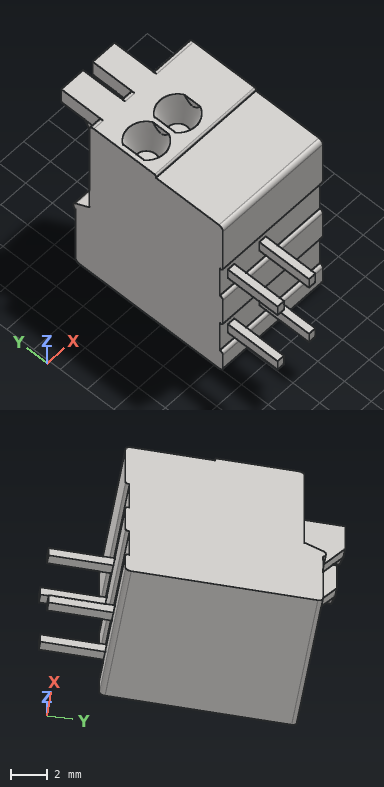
import cadquery as cq


pole_count = 2
pole_pitch = 2.55
row_pitch = 2 * pole_pitch

width = 8.08
height = 13.6
front = 3.49
upper_back = 13.48
lower_back = 14.52
step_y = 8.5
step_drop = 0.23
corner_radius = 0.31
step_radius = 0.11

latch_top_z = 5.98
bump_tip_y = 14.69
bump_z = 5.09
bump_half_height = 0.3

groove_depth = 0.23
lower_groove_z = 1.76
groove_height = 2.51
groove_edge_radius = 0.2

pin_x = 0.65
pin_width = 0.52
pin_height = 0.8
lower_pin_z = 2.74
pin_embed = 0.16

lever_x = 0.77
lever_width = 1.78
lever_front = 12.29
lever_back = 16.3
lever_side_bottom = 12.39
lever_back_bottom = 11.15
lever_toe_z = 6.35
lever_bevel = lever_side_bottom - lever_back_bottom

entry_x = 1.37
entry_y = 10.48
entry_top_radius = 1.32
entry_floor_radius = 0.73
entry_depth = 1.95
entry_left = 0.33
entry_right = lever_x + lever_width


def box(x, y, z, size_x, size_y, size_z):
    """Box placed by its lowest corner."""
    return cq.Workplane("XY").box(size_x, size_y, size_z, centered=False).translate((x, y, z))


def extrude_side(outline, x_start, length):
    """Extrude a closed YZ outline along +X."""
    return outline.close().extrude(length).translate((x_start, 0, 0))


def edges_along_x(y, z):
    """Selector for the full-width housing edge at (y, z)."""
    reach = 0.02
    return cq.selectors.BoxSelector((0, y - reach, z - reach), (width, y + reach, z + reach))


def make_housing():
    outline = (
        cq.Workplane("YZ")
        .moveTo(front, 0)
        .lineTo(lower_back, 0)
        .lineTo(lower_back, bump_z - bump_half_height)
        .threePointArc((bump_tip_y, bump_z), (lower_back, bump_z + bump_half_height))
        .lineTo(upper_back, latch_top_z)
        .lineTo(upper_back, height)
        .lineTo(step_y, height)
        .lineTo(step_y, height - step_drop)
        .lineTo(front, height - step_drop)
    )
    body = extrude_side(outline, 0, width)
    for y, z in (
        (front, 0),
        (lower_back, 0),
        (upper_back, height),
        (front, height - step_drop),
    ):
        body = body.edges(edges_along_x(y, z)).fillet(corner_radius)
    body = body.edges(edges_along_x(step_y, height)).fillet(step_radius)

    for bottom in (lower_groove_z, lower_groove_z + row_pitch):
        body = body.cut(box(0, front, bottom, width, groove_depth, groove_height))
        for z in (bottom, bottom + groove_height):
            body = body.edges(edges_along_x(front, z)).fillet(groove_edge_radius)
    return body


def make_lever(x):
    """Thumb lever with a triangular web and a 45 degree bevel under its left side."""
    outline = (
        cq.Workplane("YZ")
        .moveTo(lever_front, height)
        .lineTo(lever_back, height)
        .lineTo(lever_back, lever_back_bottom)
        .lineTo(upper_back, lever_toe_z)
        .lineTo(lever_front, lever_toe_z)
    )
    lever = extrude_side(outline, x, lever_width)
    relief = (
        cq.Workplane("XZ")
        .moveTo(x, lever_side_bottom)
        .lineTo(x + lever_bevel, lever_back_bottom)
        .lineTo(x + lever_bevel, 0)
        .lineTo(x, 0)
        .close()
        .extrude(-lever_back)
    )
    return lever.cut(relief)


def make_entry(offset):
    """Conical wire entry trimmed by a flat on each side."""
    funnel = (
        cq.Workplane("XY", origin=(entry_x + offset, entry_y, height - entry_depth))
        .circle(entry_floor_radius)
        .workplane(offset=entry_depth)
        .circle(entry_top_radius)
        .loft()
    )
    slab = box(
        entry_left + offset,
        entry_y - entry_top_radius,
        height - entry_depth,
        entry_right - entry_left,
        2 * entry_top_radius,
        entry_depth,
    )
    return funnel.intersect(slab)


def make_pin(x, z):
    length = front + groove_depth + pin_embed
    return box(x, 0, z, pin_width, length, pin_height)


result = make_housing()
for pole in range(pole_count):
    pole_offset = pole * pole_pitch
    result = result.union(make_lever(lever_x + pole_offset))
    result = result.cut(make_entry(pole_offset))
    for row_z in (lower_pin_z, lower_pin_z + row_pitch):
        result = result.union(make_pin(pin_x + pole_offset, row_z))